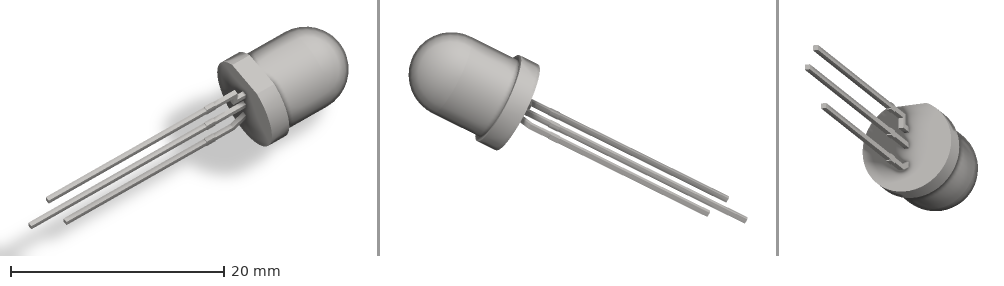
import cadquery as cq
import math


total_length = 35.5
body_radius = 4.0
flange_diameter = 8.98
flange_radius = flange_diameter / 2
flange_thickness = 2.0
cylinder_length = 5.0
flat_height = body_radius
body_length = flange_thickness + cylinder_length + body_radius

lead_thickness = 0.5
half_lead = lead_thickness / 2
lead_pitch = 2.55
middle_lead_length = total_length - body_length
upper_lead_length = 22.5
lower_lead_length = 20.5

collar_start = 3.48
collar_length = 1.0
collar_step = 0.1

upper_root_height = 1.55
upper_step_distance = 1.2
lower_root_height = -1.8
lower_bend_distance = 1.42


def make_body():
    """Revolve the flange, cylinder and dome, then cut the flat on the +Z side of the flange."""
    shoulder = flange_thickness + cylinder_length
    dome_diagonal = body_radius * math.sqrt(0.5)
    body = (
        cq.Workplane("XY")
        .lineTo(flange_radius, 0)
        .lineTo(flange_radius, flange_thickness)
        .lineTo(body_radius, flange_thickness)
        .lineTo(body_radius, shoulder)
        .threePointArc((dome_diagonal, shoulder + dome_diagonal), (0, body_length))
        .close()
        .revolve(360, (0, 0), (0, 1))
    )
    beyond_flat = cq.Workplane("XY").box(
        2 * flange_radius, flange_thickness, flange_radius, centered=(True, False, False)
    )
    return body.cut(beyond_flat.translate((0, 0, flat_height)))


def extrude_across(points):
    """Extrude a closed (Y, Z) outline to the lead width, centred on X = 0."""
    return cq.Workplane("YZ").polyline(points).close().extrude(half_lead, both=True)


def straight_bar(start, end, height, half_height=half_lead):
    """Bar along Y between two distances from the flange, centred on the given height."""
    return extrude_across([
        (-start, height - half_height),
        (-end, height - half_height),
        (-end, height + half_height),
        (-start, height + half_height),
    ])


def make_collar(height):
    return straight_bar(collar_start, collar_start + collar_length, height, half_lead + collar_step)


def make_upper_lead():
    """Lead that steps up at right angles to the upper pitch line."""
    near_side = upper_step_distance - half_lead
    far_side = upper_step_distance + half_lead
    root = straight_bar(0, far_side, upper_root_height)
    riser = extrude_across([
        (-near_side, upper_root_height - half_lead),
        (-far_side, upper_root_height - half_lead),
        (-far_side, lead_pitch + half_lead),
        (-near_side, lead_pitch + half_lead),
    ])
    return root.union(riser).union(straight_bar(near_side, upper_lead_length, lead_pitch))


def make_lower_lead():
    """Lead that slopes down to the lower pitch line, with a mitred bend of constant thickness."""
    height = -lead_pitch
    slope_angle = math.atan2(lower_root_height - height, lower_bend_distance)
    miter_shift = half_lead * math.tan(slope_angle / 2)
    root_half_height = half_lead / math.cos(slope_angle)
    return extrude_across([
        (0, lower_root_height + root_half_height),
        (-lower_bend_distance - miter_shift, height + half_lead),
        (-lower_lead_length, height + half_lead),
        (-lower_lead_length, height - half_lead),
        (-lower_bend_distance + miter_shift, height - half_lead),
        (0, lower_root_height - root_half_height),
    ])


result = make_body()
result = result.union(straight_bar(0, middle_lead_length, 0))
result = result.union(make_upper_lead())
result = result.union(make_lower_lead())
for collar_height in (-lead_pitch, 0, lead_pitch):
    result = result.union(make_collar(collar_height))